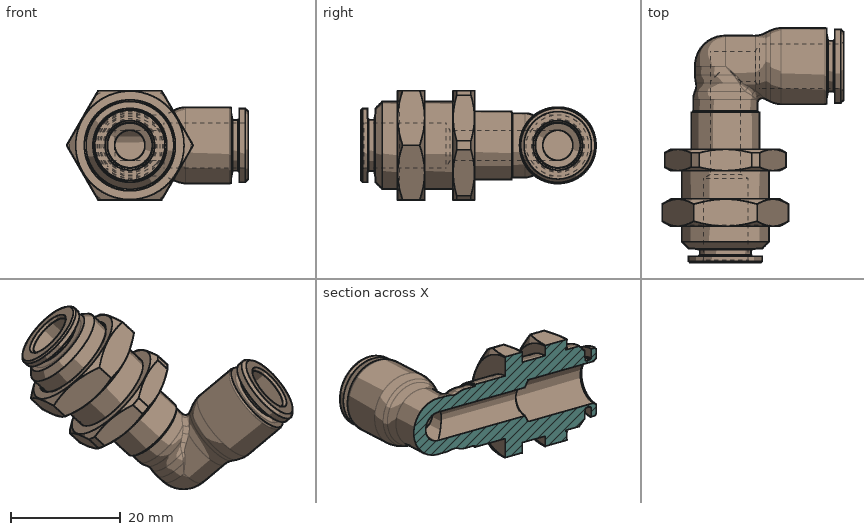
import cadquery as cq
import math


elbow_y = 35.9
elbow_radius = 5.58
crotch_fillet = 0.85

thread_radius = 16.0 / 2
thread_start_y = 2.6
thread_chamfer = 1.3
sleeve_radius = 12.5 / 2
sleeve_end_y = 27.5
plug_radius = 11.8 / 2
plug_seat_height = 0.1
plug_seat_length = 0.2
plug_end_y = 29.85
waist_rise_y = 31.25
waist_rise_radius = 5.58
waist_fall_y = 32.8
waist_fall_radius = 5.4
waist_end_y = 34.3

socket_radius = 14.0 / 2
socket_end_x = 18.53
socket_edge_length = 0.45
socket_edge_height = 0.15
flare_start_x = 5.45
flare_arc_length = 1.95
flare_arc_rise = 0.5
flare_cone_length = 0.77

collar_radius = 13.5 / 2
stem_neck_radius = 9.4 / 2
stem_collar_length = 1.25
stem_collar_chamfer = 0.35
outlet_neck_radius = 9.3 / 2
outlet_collar_length = 1.7
outlet_collar_chamfer = 0.6
outlet_end_x = 21.6
neck_flare = 0.2
seat_width = 1.1
seat_height = 0.2

nut_flats = 20.0
nut_corners = nut_flats / math.cos(math.pi / 6)
nut_face_radius = 19.77 / 2
nut_chamfer_angle = 30
lock_nut_start_y = 6.65
lock_nut_length = 5.0
stop_nut_start_y = 16.75
stop_nut_length = 4.0
stop_nut_turned_radius = 22.17 / 2
nut_mouth_radius = 16.65 / 2

tube_radius = 8.15 / 2
tube_mouth_radius = 9.05 / 2
tube_mouth_depth = 0.55
tube_step = 0.1
tube_depth = 15.45
tube_stop_angle = 30
flow_radius = 5.5 / 2


def revolve_about_y(profile):
    """Close a half profile and turn it a full round about the Y axis."""
    return profile.close().revolve(360, (0, 0, 0), (0, 1, 0))


def turn_to_outlet(solid):
    """Move a solid built along +Y from the origin onto the outlet axis, pointing along +X."""
    return solid.rotate((0, 0, 0), (0, 0, 1), -90).translate((0, elbow_y, 0))


def face_outlet_end(solid):
    """Move a solid that starts at Y = 0 so that it starts at the outlet end and runs inward."""
    return turn_to_outlet(solid.mirror("XZ").translate((0, outlet_end_x, 0)))


def make_stem():
    """Threaded bulkhead body, sleeve, plug and waist up to the elbow centre."""
    profile = (
        cq.Workplane("XY")
        .moveTo(0, thread_start_y)
        .lineTo(thread_radius - thread_chamfer, thread_start_y)
        .lineTo(thread_radius, thread_start_y + thread_chamfer)
        .lineTo(thread_radius, stop_nut_start_y)
        .lineTo(sleeve_radius, stop_nut_start_y)
        .lineTo(sleeve_radius, sleeve_end_y)
        .lineTo(plug_radius + plug_seat_height, sleeve_end_y)
        .lineTo(plug_radius, sleeve_end_y + plug_seat_length)
        .lineTo(plug_radius, plug_end_y)
        .tangentArcPoint((waist_rise_radius, waist_rise_y), relative=False)
        .tangentArcPoint((waist_fall_radius, waist_fall_y), relative=False)
        .tangentArcPoint((elbow_radius, waist_end_y), relative=False)
        .lineTo(elbow_radius, elbow_y)
        .lineTo(0, elbow_y)
    )
    return revolve_about_y(profile)


def make_outlet():
    """Outlet arm flaring from the elbow out to the tube socket."""
    flare_cone_x = flare_start_x + flare_arc_length
    flare_cone_end_x = flare_cone_x + flare_cone_length
    profile = (
        cq.Workplane("XY")
        .lineTo(elbow_radius, 0)
        .lineTo(elbow_radius, flare_start_x)
        .tangentArcPoint((elbow_radius + flare_arc_rise, flare_cone_x), relative=False)
        .lineTo(socket_radius - flare_arc_rise, flare_cone_end_x)
        .tangentArcPoint((socket_radius, flare_cone_end_x + flare_arc_length), relative=False)
        .lineTo(socket_radius, socket_end_x - socket_edge_length)
        .lineTo(socket_radius - socket_edge_height, socket_end_x)
        .lineTo(0, socket_end_x)
    )
    return turn_to_outlet(revolve_about_y(profile))


def make_collar(neck_radius, neck_length, length, chamfer):
    """Release collar with its outer face at Y = 0 and its neck reaching along +Y."""
    profile = (
        cq.Workplane("XY")
        .lineTo(collar_radius - chamfer, 0)
        .lineTo(collar_radius, chamfer)
        .lineTo(collar_radius, length)
        .lineTo(neck_radius + neck_flare, length)
        .lineTo(neck_radius, length + neck_flare)
        .lineTo(neck_radius, length + neck_length - seat_height)
        .lineTo(neck_radius + seat_width, length + neck_length)
        .lineTo(0, length + neck_length)
    )
    return revolve_about_y(profile)


def make_nut(start_y, length, turned_radius):
    """Hexagon with 30 degree face chamfers; corners are turned down to turned_radius."""
    chamfer_length = (turned_radius - nut_face_radius) * math.tan(math.radians(nut_chamfer_angle))
    hexagon = (
        cq.Workplane("XZ", origin=(0, start_y, 0))
        .polygon(6, nut_corners)
        .extrude(-length)
    )
    envelope = revolve_about_y(
        cq.Workplane("XY")
        .moveTo(0, start_y)
        .lineTo(nut_face_radius, start_y)
        .lineTo(turned_radius, start_y + chamfer_length)
        .lineTo(turned_radius, start_y + length - chamfer_length)
        .lineTo(nut_face_radius, start_y + length)
        .lineTo(0, start_y + length)
    )
    return hexagon.intersect(envelope)


def make_lock_nut():
    """Full-cornered nut with a countersunk mouth around the thread."""
    nut = make_nut(lock_nut_start_y, lock_nut_length, nut_corners / 2)
    mouth_depth = nut_mouth_radius - thread_radius
    mouth = revolve_about_y(
        cq.Workplane("XY")
        .moveTo(thread_radius, lock_nut_start_y)
        .lineTo(nut_mouth_radius, lock_nut_start_y)
        .lineTo(thread_radius, lock_nut_start_y + mouth_depth)
    )
    return nut.cut(mouth)


def make_bore(length):
    """Tube bore from a chamfered mouth at Y = 0, coned down to the flow passage."""
    cone_length = (tube_radius - flow_radius) * math.tan(math.radians(tube_stop_angle))
    profile = (
        cq.Workplane("XY")
        .lineTo(tube_mouth_radius, 0)
        .lineTo(tube_radius + tube_step, tube_mouth_depth)
        .lineTo(tube_radius, tube_mouth_depth)
        .lineTo(tube_radius, tube_depth)
        .lineTo(flow_radius, tube_depth + cone_length)
        .lineTo(flow_radius, length)
        .lineTo(0, length)
    )
    return revolve_about_y(profile)


bend = cq.Workplane("XY").sphere(elbow_radius).translate((0, elbow_y, 0))
body = make_stem().union(make_outlet()).union(bend)
body = body.edges("%BSPLINE or %ELLIPSE").fillet(crotch_fillet)

stem_collar = make_collar(
    stem_neck_radius, thread_start_y - stem_collar_length, stem_collar_length, stem_collar_chamfer
)
outlet_collar = make_collar(
    outlet_neck_radius,
    outlet_end_x - outlet_collar_length - socket_end_x,
    outlet_collar_length,
    outlet_collar_chamfer,
)
body = body.union(stem_collar).union(face_outlet_end(outlet_collar))

stop_nut = make_nut(stop_nut_start_y, stop_nut_length, stop_nut_turned_radius)
body = body.union(make_lock_nut()).union(stop_nut)

stem_bore = make_bore(elbow_y)
outlet_bore = face_outlet_end(make_bore(outlet_end_x + flow_radius))
result = body.cut(stem_bore).cut(outlet_bore)